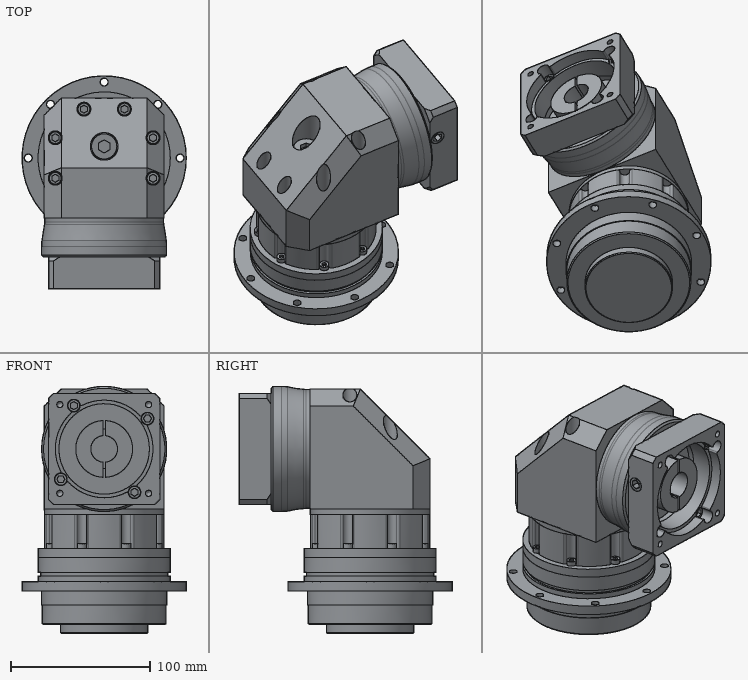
import cadquery as cq
import math


OVERALL_HEIGHT = 177.5

OUTPUT_BOSS_RADIUS = 31.5
OUTPUT_BOSS_TOP = 6.4
OUTPUT_BOSS_CHAMFER = 0.7
PILOT_RADIUS = 44.5
PILOT_TOP = 20.5
PILOT_CHAMFER = 0.9
SHOULDER_RADIUS = 45.0
FLANGE_DIAMETER = 118.0
FLANGE_BOTTOM = 30.4
FLANGE_TOP = 37.3
FLANGE_HOLE_DIAMETER = 5.5
FLANGE_HOLE_CIRCLE_RADIUS = 54.5
FLANGE_HOLE_COUNT = 8
DRUM_DIAMETER = 95.0
GROOVE_RADIUS = 45.8
GROOVE_BOTTOM = 41.2
GROOVE_TOP = 43.8
OUTPUT_HOUSING_TOP = 54.7

BLOCK_WIDTH = 86.0
BLOCK_HALF = BLOCK_WIDTH / 2

RING_FLANGE_TOP = 61.0
RING_TOP = 85.5
RING_RADIUS = BLOCK_WIDTH / 2
FLUTE_COUNT = 8
FLUTE_RADIUS = 3.5
FLUTE_CIRCLE_RADIUS = 41.4
FLUTE_LIP_FILLET = 1.6
RING_SCREW_HEAD_DIAMETER = 6.5
RING_SCREW_HEAD_HEIGHT = 3.4
RING_SCREW_HEX = 3.0

BLOCK_BOTTOM = 89.5
BLOCK_TOP = BLOCK_BOTTOM + BLOCK_WIDTH
SLOPE_RUN = 50.0
BLOCK_CHAMFER = 12.2
AXIS_Z = BLOCK_BOTTOM + BLOCK_HALF
BELL_RADIUS = OVERALL_HEIGHT - AXIS_Z
BELL_NECK_RADIUS = 42.8
BELL_CONE_START_RADIUS = 43.0
BELL_CONE_END_RADIUS = 44.7
BELL_CHAMFER = 1.5
NECK_END = 2.8
CONE_START = 4.8
CONE_END = 16.2
RIM_START = 20.6
BELL_LENGTH = 28.0
BELL_RECESS_DEPTH = 4.3

SCREW_CIRCLE_RADIUS = 38.0
SCREW_HEAD_RADIUS = 4.3
SCREW_HEX = 5.0
SCREW_SOCKET_DEPTH = 2.7
BLOCK_POCKET_RADIUS = 5.0
BLOCK_POCKET_FLOOR = 106.5
BLOCK_SCREW_HEAD_TOP = 111.8
BLOCK_SCREW_PITCH = 45.0
BLOCK_SCREW_FIRST = -22.5
BLOCK_SCREW_COUNT = 6

PLUG_Y = 8.3
PLUG_POCKET_RADIUS = 10.0
PLUG_RADIUS = 9.0
PLUG_HEX = 8.2
PLUG_SOCKET_DEPTH = 4.5
PLUG_POCKET_FLOOR = 142.0
PLUG_TOP = 145.5

PLATE_SIDE = 79.9
PLATE_CORNER_RADIUS = 54.0
PLATE_BACK_CHAMFER = 2.8
PLATE_THICKNESS = 22.9
PLATE_BACK_Y = -(BLOCK_HALF + BELL_LENGTH)
PLATE_FRONT_Y = PLATE_BACK_Y - PLATE_THICKNESS
BORE_RADIUS = 32.5
SPIGOT_DIAMETER = 70.1
SPIGOT_RADIUS = SPIGOT_DIAMETER / 2
SPIGOT_DEPTH = 8.0
PLATE_POCKET_DIAMETER = 9.0
PLATE_POCKET_RADIUS = PLATE_POCKET_DIAMETER / 2
PLATE_POCKET_DEPTH = 15.0
PLATE_POCKET_LIP_FILLET = 0.9
PLATE_SCREW_HEAD_DEPTH = 9.2
PLATE_SCREW_FIRST = 35.0
PLATE_SCREW_COUNT = 4
MOTOR_HOLE_DIAMETER = 4.5
MOTOR_HOLE_SPACING = 63.7
MOTOR_HOLE_DEPTH = 10.6
MOTOR_HOLE_TIP_ANGLE = 118.0
ACCESS_PLUG_RADIUS = 5.1
ACCESS_PLUG_INSET = 0.2
ACCESS_PLUG_HEX = 6.0
ACCESS_SOCKET_DEPTH = 5.3
ACCESS_PLUG_Y = -77.7
ACCESS_PLUG_RISE = 13.8

HUB_RADIUS = 20.5
HUB_BORE_RADIUS = 9.5
HUB_SLOT_WIDTH = 1.6
HUB_FRONT_DEPTH = 9.4
HUB_FRONT_Y = PLATE_FRONT_Y + HUB_FRONT_DEPTH
HUB_SEAT_Y = PLATE_BACK_Y + BELL_RECESS_DEPTH
HUB_PILOT_RADIUS = 14.2
HUB_PILOT_LENGTH = 7.1


def z_cylinder(radius, bottom, top):
    """Upright cylinder on the Z axis."""
    return cq.Workplane("XY").workplane(offset=bottom).circle(radius).extrude(top - bottom)


def y_cylinder(radius, front, back):
    """Cylinder on the input axis between two Y positions, front being the lower one."""
    return cq.Workplane("XZ", origin=(0, back, AXIS_Z)).circle(radius).extrude(back - front)


def hex_prism(across_flats, depth):
    """Hexagonal prism from z = 0 down, with corners toward +Y and -Y."""
    across_corners = across_flats / math.cos(math.pi / 6)
    return cq.Workplane("XY").polygon(6, across_corners).extrude(-depth).rotate((0, 0, 0), (0, 0, 1), 90)


def socket_head(radius, height, across_flats, socket_depth):
    """Cylindrical screw head standing on z = 0, with a hexagonal socket in its top."""
    head = z_cylinder(radius, 0, height)
    return head.cut(hex_prism(across_flats, socket_depth).translate((0, 0, height)))


def polar(radius, degrees):
    angle = math.radians(degrees)
    return radius * math.cos(angle), radius * math.sin(angle)


def spin(body, degrees):
    """Turn a body about the Z axis."""
    return body.rotate((0, 0, 0), (0, 0, 1), degrees)


def to_input_axis(body, y):
    """Move a body from the Z axis to the input axis, its z = 0 plane at y and its top toward -Y."""
    return body.rotate((0, 0, 0), (1, 0, 0), 90).translate((0, y, AXIS_Z))


def lipped_pocket(pocket_radius, pocket_distance, rim_radius, fillet, outward, length):
    """Cutter for a round pocket that breaks through a round rim with filleted lips.

    The pocket lies on +X, standing on z = 0. outward is 1 where the pocket opens away from
    the axis and -1 where it opens toward the axis.
    """
    lip_distance = rim_radius - outward * fillet
    lip_reach = pocket_radius + fillet
    lip_x = (lip_distance**2 + pocket_distance**2 - lip_reach**2) / (2 * pocket_distance)
    lip_y = math.sqrt(lip_distance**2 - lip_x**2)

    wall_x = pocket_distance + (lip_x - pocket_distance) * pocket_radius / lip_reach
    wall_y = lip_y * pocket_radius / lip_reach
    rim_x = lip_x * rim_radius / lip_distance
    rim_y = lip_y * rim_radius / lip_distance

    toward_x = (wall_x + rim_x) / 2 - lip_x
    toward_y = (wall_y + rim_y) / 2 - lip_y
    stretch = fillet / math.hypot(toward_x, toward_y)
    middle_x = lip_x + toward_x * stretch
    middle_y = lip_y + toward_y * stretch

    clearance = 1.8
    return (
        cq.Workplane("XY")
        .moveTo(rim_x, -rim_y)
        .threePointArc((middle_x, -middle_y), (wall_x, -wall_y))
        .threePointArc((pocket_distance - outward * pocket_radius, 0), (wall_x, wall_y))
        .threePointArc((middle_x, middle_y), (rim_x, rim_y))
        .threePointArc((rim_radius + outward * clearance, 0), (rim_x, -rim_y))
        .close()
        .extrude(length)
    )


def make_output_housing():
    boss = z_cylinder(OUTPUT_BOSS_RADIUS, 0, OUTPUT_BOSS_TOP).faces("<Z").chamfer(OUTPUT_BOSS_CHAMFER)
    pilot = z_cylinder(PILOT_RADIUS, OUTPUT_BOSS_TOP, PILOT_TOP).faces("<Z").chamfer(PILOT_CHAMFER)
    flange = z_cylinder(FLANGE_DIAMETER / 2, FLANGE_BOTTOM, FLANGE_TOP)
    for i in range(FLANGE_HOLE_COUNT):
        x, y = polar(FLANGE_HOLE_CIRCLE_RADIUS, i * 360 / FLANGE_HOLE_COUNT)
        hole = z_cylinder(FLANGE_HOLE_DIAMETER / 2, FLANGE_BOTTOM, FLANGE_TOP)
        flange = flange.cut(hole.translate((x, y, 0)))
    return (
        boss.union(pilot)
        .union(z_cylinder(SHOULDER_RADIUS, PILOT_TOP, FLANGE_BOTTOM))
        .union(flange)
        .union(z_cylinder(DRUM_DIAMETER / 2, FLANGE_TOP, GROOVE_BOTTOM))
        .union(z_cylinder(GROOVE_RADIUS, GROOVE_BOTTOM, GROOVE_TOP))
        .union(z_cylinder(DRUM_DIAMETER / 2, GROOVE_TOP, OUTPUT_HOUSING_TOP))
    )


def make_ring_housing():
    flange = z_cylinder(DRUM_DIAMETER / 2, OUTPUT_HOUSING_TOP, RING_FLANGE_TOP)
    ring = flange.union(z_cylinder(RING_RADIUS, RING_FLANGE_TOP, RING_TOP))
    flute = lipped_pocket(
        FLUTE_RADIUS, FLUTE_CIRCLE_RADIUS, RING_RADIUS, FLUTE_LIP_FILLET, 1, RING_TOP - RING_FLANGE_TOP
    ).translate((0, 0, RING_FLANGE_TOP))
    head = socket_head(
        RING_SCREW_HEAD_DIAMETER / 2, RING_SCREW_HEAD_HEIGHT, RING_SCREW_HEX, RING_SCREW_HEAD_HEIGHT / 2
    ).translate((FLUTE_CIRCLE_RADIUS, 0, RING_FLANGE_TOP))
    pitch = 360 / FLUTE_COUNT
    for i in range(FLUTE_COUNT):
        angle = (i + 0.5) * pitch
        ring = ring.cut(spin(flute, angle)).union(spin(head, angle))
    return ring


def make_block():
    """Block with a 45 degree slope at the rear, chamfered all along its top and rear edges."""
    block = (
        cq.Workplane("YZ")
        .moveTo(-BLOCK_HALF, BLOCK_BOTTOM)
        .lineTo(BLOCK_HALF, BLOCK_BOTTOM)
        .lineTo(BLOCK_HALF, BLOCK_TOP - SLOPE_RUN)
        .lineTo(BLOCK_HALF - SLOPE_RUN, BLOCK_TOP)
        .lineTo(-BLOCK_HALF, BLOCK_TOP)
        .close()
        .extrude(BLOCK_HALF, both=True)
    )
    return block.faces("<X or >X").edges("not(<Y or <Z)").chamfer(BLOCK_CHAMFER)


def make_bell():
    """Turned bell; the cone runs into the neck and into the rim through tangent arcs."""
    neck_arc_middle = (BELL_NECK_RADIUS + (BELL_CONE_START_RADIUS - BELL_NECK_RADIUS) / 4,
                       (NECK_END + CONE_START) / 2)
    rim_arc_middle = (BELL_RADIUS - (BELL_RADIUS - BELL_CONE_END_RADIUS) / 4,
                      (CONE_END + RIM_START) / 2)
    bell = (
        cq.Workplane("XY")
        .moveTo(0, 0)
        .lineTo(BELL_NECK_RADIUS, 0)
        .lineTo(BELL_NECK_RADIUS, NECK_END)
        .threePointArc(neck_arc_middle, (BELL_CONE_START_RADIUS, CONE_START))
        .lineTo(BELL_CONE_END_RADIUS, CONE_END)
        .threePointArc(rim_arc_middle, (BELL_RADIUS, RIM_START))
        .lineTo(BELL_RADIUS, BELL_LENGTH - BELL_CHAMFER)
        .lineTo(BELL_RADIUS - BELL_CHAMFER, BELL_LENGTH)
        .lineTo(0, BELL_LENGTH)
        .close()
        .revolve(360, (0, 0, 0), (0, 1, 0))
    )
    return bell.rotate((0, 0, 0), (0, 0, 1), 180).translate((0, -BLOCK_HALF, AXIS_Z))


def make_angle_housing():
    foot = z_cylinder(RING_RADIUS, RING_TOP, BLOCK_BOTTOM)
    housing = make_block().union(foot).union(make_bell())
    housing = housing.cut(y_cylinder(BORE_RADIUS, PLATE_BACK_Y, HUB_SEAT_Y))
    housing = housing.cut(y_cylinder(HUB_PILOT_RADIUS, HUB_SEAT_Y, HUB_SEAT_Y + HUB_PILOT_LENGTH))

    pocket = z_cylinder(BLOCK_POCKET_RADIUS, BLOCK_POCKET_FLOOR, BLOCK_TOP)
    head = socket_head(
        SCREW_HEAD_RADIUS, BLOCK_SCREW_HEAD_TOP - BLOCK_POCKET_FLOOR, SCREW_HEX, SCREW_SOCKET_DEPTH
    ).translate((0, 0, BLOCK_POCKET_FLOOR))
    for i in range(BLOCK_SCREW_COUNT):
        x, y = polar(SCREW_CIRCLE_RADIUS, BLOCK_SCREW_FIRST + i * BLOCK_SCREW_PITCH)
        housing = housing.cut(pocket.translate((x, y, 0))).union(head.translate((x, y, 0)))

    plug_pocket = z_cylinder(PLUG_POCKET_RADIUS, PLUG_POCKET_FLOOR, BLOCK_TOP)
    plug = socket_head(
        PLUG_RADIUS, PLUG_TOP - PLUG_POCKET_FLOOR, PLUG_HEX, PLUG_SOCKET_DEPTH
    ).translate((0, PLUG_Y, PLUG_POCKET_FLOOR))
    return housing.cut(plug_pocket.translate((0, PLUG_Y, 0))).union(plug)


def make_plate_blank():
    """Square plate with turned corners, bevelled at the back, and a stepped bore."""
    turned = y_cylinder(PLATE_CORNER_RADIUS, PLATE_FRONT_Y, PLATE_BACK_Y)
    turned = turned.faces(">Y").chamfer(PLATE_BACK_CHAMFER)
    square = (
        cq.Workplane("XZ", origin=(0, PLATE_BACK_Y, AXIS_Z))
        .rect(PLATE_SIDE, PLATE_SIDE)
        .extrude(PLATE_THICKNESS)
    )
    blank = square.intersect(turned)
    blank = blank.cut(y_cylinder(BORE_RADIUS, PLATE_FRONT_Y, PLATE_BACK_Y))
    return blank.cut(y_cylinder(SPIGOT_RADIUS, PLATE_FRONT_Y, PLATE_FRONT_Y + SPIGOT_DEPTH))


def add_plate_screws(plate):
    """Four screw heads in round pockets; the pockets open into the spigot recess."""
    floor_y = PLATE_FRONT_Y + PLATE_POCKET_DEPTH
    opening = lipped_pocket(
        PLATE_POCKET_RADIUS, SCREW_CIRCLE_RADIUS, SPIGOT_RADIUS, PLATE_POCKET_LIP_FILLET, -1, SPIGOT_DEPTH
    )
    opening = opening.translate((0, 0, PLATE_POCKET_DEPTH - SPIGOT_DEPTH))
    pocket = z_cylinder(PLATE_POCKET_RADIUS, 0, PLATE_POCKET_DEPTH).translate((SCREW_CIRCLE_RADIUS, 0, 0))
    head = socket_head(
        SCREW_HEAD_RADIUS, PLATE_POCKET_DEPTH - PLATE_SCREW_HEAD_DEPTH, SCREW_HEX, SCREW_SOCKET_DEPTH
    )
    head = spin(head, 90 - PLATE_SCREW_FIRST).translate((SCREW_CIRCLE_RADIUS, 0, 0))
    for i in range(PLATE_SCREW_COUNT):
        angle = PLATE_SCREW_FIRST + i * 360 / PLATE_SCREW_COUNT
        for cutter in (opening, pocket):
            plate = plate.cut(to_input_axis(spin(cutter, angle), floor_y))
        plate = plate.union(to_input_axis(spin(head, angle), floor_y))
    return plate


def cut_motor_holes(plate):
    """Four blind holes with drill tips."""
    radius = MOTOR_HOLE_DIAMETER / 2
    tip_length = radius / math.tan(math.radians(MOTOR_HOLE_TIP_ANGLE / 2))
    hole = (
        cq.Workplane("XZ")
        .polyline([(0, 0), (radius, 0), (radius, -MOTOR_HOLE_DEPTH), (0, -MOTOR_HOLE_DEPTH - tip_length)])
        .close()
        .revolve(360, (0, 0, 0), (0, 1, 0))
    )
    offset = MOTOR_HOLE_SPACING / 2
    for x in (-offset, offset):
        for y in (-offset, offset):
            plate = plate.cut(to_input_axis(hole.translate((x, y, 0)), PLATE_FRONT_Y))
    return plate


def cut_access_plug(plate):
    """Round plug face with a hexagonal socket, on the -X side above the input axis."""
    face = z_cylinder(ACCESS_PLUG_RADIUS, -ACCESS_PLUG_INSET, 0)
    cutter = face.union(spin(hex_prism(ACCESS_PLUG_HEX, ACCESS_SOCKET_DEPTH), 90))
    cutter = cutter.rotate((0, 0, 0), (0, 1, 0), -90)
    return plate.cut(cutter.translate((-PLATE_SIDE / 2, ACCESS_PLUG_Y, AXIS_Z + ACCESS_PLUG_RISE)))


def make_adapter_plate():
    plate = add_plate_screws(make_plate_blank())
    return cut_access_plug(cut_motor_holes(plate))


def make_clamping_hub():
    """Split hub with a blind bore and a solid pilot that enters the bell."""
    hub = y_cylinder(HUB_RADIUS, HUB_FRONT_Y, HUB_SEAT_Y)
    hub = hub.cut(y_cylinder(HUB_BORE_RADIUS, HUB_FRONT_Y, HUB_SEAT_Y))
    slot = (
        cq.Workplane("XZ", origin=(0, HUB_SEAT_Y, AXIS_Z))
        .rect(HUB_SLOT_WIDTH, 2 * HUB_RADIUS)
        .extrude(HUB_SEAT_Y - HUB_FRONT_Y)
    )
    pilot = y_cylinder(HUB_PILOT_RADIUS, HUB_SEAT_Y, HUB_SEAT_Y + HUB_PILOT_LENGTH)
    return hub.cut(slot).union(pilot)


output_housing = make_output_housing()
ring_housing = make_ring_housing()
angle_housing = make_angle_housing()
adapter_plate = make_adapter_plate()
clamping_hub = make_clamping_hub()

result = cq.Compound.makeCompound(
    [
        output_housing.val(),
        ring_housing.val(),
        angle_housing.val(),
        adapter_plate.val(),
        clamping_hub.val(),
    ]
)